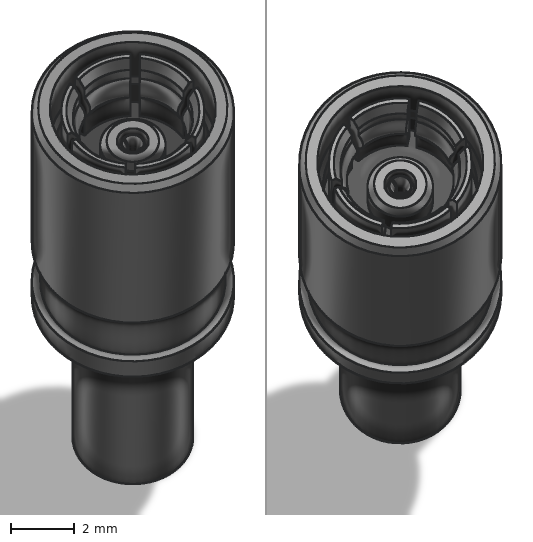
import cadquery as cq
import math

TOTAL_HEIGHT = 17.1
STEM_TOP = 7.0
FLANGE_TOP = 8.1
SLEEVE_BOTTOM = 10.12

OUTER_RADIUS = 6.35 / 2
STEM_RADIUS = 1.9
GROOVE_RADIUS = 2.9
FLANGE_CHAMFER = 0.3
RIM_CHAMFER = 0.2

BORE_RADIUS = 2.6
LOWER_BORE_RADIUS = 2.43
BORE_TAPER_TOP_DEPTH = 1.8
BORE_TAPER_HEIGHT = 0.17
FLOOR_DEPTH = 2.9

FINGER_COUNT = 6
FINGER_OUTER_RADIUS = 2.24
FINGER_MOUTH_RADIUS = 2.09
FINGER_INNER_RADIUS = 1.88
FINGER_TOP_DEPTH = 0.14
LEAD_IN_BOTTOM_DEPTH = 0.5
SLOT_WIDTH = 0.29

BEAD_CREST_RADIUS = 1.68
BEAD_CREST_DEPTH = 1.44
BEAD_HALF_HEIGHT = 0.5

BOSS_RADIUS = 1.03
BOSS_CHAMFER = 0.2
BOSS_TOP_DEPTH = 1.71
CONTACT_HOLE_RADIUS = 0.5

CONTACT_TIP_RADIUS = 0.36
CONTACT_RADIUS = 0.45
CONTACT_TOP_GAP = 0.14
CONTACT_TIP_HEIGHT = 0.35
CONTACT_MOUTH_RADIUS = 0.35
CONTACT_BORE_RADIUS = 0.17
CONTACT_MOUTH_DEPTH = 0.41
CONTACT_BORE_DEPTH = 0.85
CONTACT_SLOT_WIDTH = 0.05

FLOOR_Z = TOTAL_HEIGHT - FLOOR_DEPTH
BOSS_TOP = TOTAL_HEIGHT - BOSS_TOP_DEPTH
CONTACT_TOP = BOSS_TOP - CONTACT_TOP_GAP


def revolve_profile(profile):
    """Turn a closed (radius, z) outline about the Z axis."""
    return profile.close().revolve(360, (0, 0, 0), (0, 1, 0))


def bulge_middle(edge_radius, crest_radius, height):
    """Middle of an arc that leaves its crest along Z: its radius and its distance in Z from the crest."""
    rise = edge_radius - crest_radius
    arc_radius = (height**2 + rise**2) / (2 * rise)
    half_angle = math.asin(height / arc_radius) / 2
    return crest_radius + arc_radius * (1 - math.cos(half_angle)), arc_radius * math.sin(half_angle)


def make_shell():
    """Stem, flange, groove and sleeve with its stepped bore."""
    taper_top = TOTAL_HEIGHT - BORE_TAPER_TOP_DEPTH
    return revolve_profile(
        cq.Workplane("XZ").polyline([
            (0, 0),
            (STEM_RADIUS, 0),
            (STEM_RADIUS, STEM_TOP),
            (OUTER_RADIUS - FLANGE_CHAMFER, STEM_TOP),
            (OUTER_RADIUS, STEM_TOP + FLANGE_CHAMFER),
            (OUTER_RADIUS, FLANGE_TOP),
            (GROOVE_RADIUS, FLANGE_TOP),
            (GROOVE_RADIUS, SLEEVE_BOTTOM),
            (OUTER_RADIUS, SLEEVE_BOTTOM),
            (OUTER_RADIUS, TOTAL_HEIGHT - RIM_CHAMFER),
            (OUTER_RADIUS - RIM_CHAMFER, TOTAL_HEIGHT),
            (BORE_RADIUS, TOTAL_HEIGHT),
            (BORE_RADIUS, taper_top),
            (LOWER_BORE_RADIUS, taper_top - BORE_TAPER_HEIGHT),
            (LOWER_BORE_RADIUS, FLOOR_Z),
            (0, FLOOR_Z),
        ])
    )


def make_fingers():
    """Tube with a lead-in and a snap bead, slotted into equal fingers."""
    finger_top = TOTAL_HEIGHT - FINGER_TOP_DEPTH
    lead_in_bottom = TOTAL_HEIGHT - LEAD_IN_BOTTOM_DEPTH
    bead_z = TOTAL_HEIGHT - BEAD_CREST_DEPTH
    middle_radius, middle_offset = bulge_middle(FINGER_INNER_RADIUS, BEAD_CREST_RADIUS, BEAD_HALF_HEIGHT)

    fingers = revolve_profile(
        cq.Workplane("XZ")
        .moveTo(FINGER_INNER_RADIUS, FLOOR_Z)
        .lineTo(FINGER_OUTER_RADIUS, FLOOR_Z)
        .lineTo(FINGER_OUTER_RADIUS, finger_top)
        .lineTo(FINGER_MOUTH_RADIUS, finger_top)
        .lineTo(FINGER_INNER_RADIUS, lead_in_bottom)
        .lineTo(FINGER_INNER_RADIUS, bead_z + BEAD_HALF_HEIGHT)
        .threePointArc((middle_radius, bead_z + middle_offset), (BEAD_CREST_RADIUS, bead_z))
        .threePointArc(
            (middle_radius, bead_z - middle_offset),
            (FINGER_INNER_RADIUS, bead_z - BEAD_HALF_HEIGHT),
        )
    )
    slot = (
        cq.Workplane("XY", origin=(0, 0, FLOOR_Z))
        .rect(2 * OUTER_RADIUS, SLOT_WIDTH)
        .extrude(FLOOR_DEPTH)
    )
    for index in range(FINGER_COUNT // 2):
        fingers = fingers.cut(slot.rotate((0, 0, 0), (0, 0, 1), index * 360 / FINGER_COUNT))
    return fingers


def make_boss():
    """Chamfered boss standing on the socket floor."""
    return (
        cq.Workplane("XY", origin=(0, 0, FLOOR_Z))
        .circle(BOSS_RADIUS)
        .extrude(BOSS_TOP - FLOOR_Z)
        .faces(">Z")
        .chamfer(BOSS_CHAMFER)
    )


def make_housing():
    contact_hole = (
        cq.Workplane("XY", origin=(0, 0, FLOOR_Z))
        .circle(CONTACT_HOLE_RADIUS)
        .extrude(BOSS_TOP - FLOOR_Z)
    )
    return make_shell().union(make_fingers()).union(make_boss()).cut(contact_hole)


def make_contact():
    """Tapered pin with a rounded bore mouth, split across by a narrow slot."""
    bore_bottom = CONTACT_TOP - CONTACT_BORE_DEPTH
    mouth_bottom = CONTACT_TOP - CONTACT_MOUTH_DEPTH
    middle_radius, middle_offset = bulge_middle(
        CONTACT_MOUTH_RADIUS, CONTACT_BORE_RADIUS, CONTACT_MOUTH_DEPTH
    )
    pin = revolve_profile(
        cq.Workplane("XZ")
        .moveTo(0, FLOOR_Z)
        .lineTo(CONTACT_RADIUS, FLOOR_Z)
        .lineTo(CONTACT_RADIUS, CONTACT_TOP - CONTACT_TIP_HEIGHT)
        .lineTo(CONTACT_TIP_RADIUS, CONTACT_TOP)
        .lineTo(CONTACT_MOUTH_RADIUS, CONTACT_TOP)
        .threePointArc((middle_radius, mouth_bottom + middle_offset), (CONTACT_BORE_RADIUS, mouth_bottom))
        .lineTo(CONTACT_BORE_RADIUS, bore_bottom)
        .lineTo(0, bore_bottom)
    )
    slot = (
        cq.Workplane("XY", origin=(0, 0, bore_bottom))
        .rect(2 * CONTACT_RADIUS, CONTACT_SLOT_WIDTH)
        .extrude(CONTACT_BORE_DEPTH)
    )
    return pin.cut(slot)


housing = make_housing()
contact = make_contact()
result = cq.Compound.makeCompound([housing.val(), contact.val()])